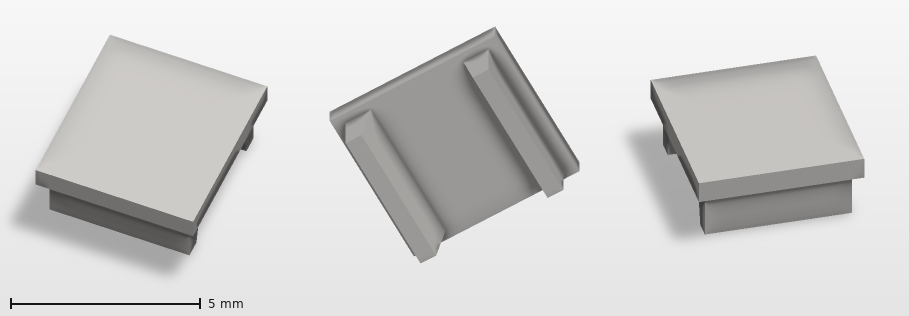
import cadquery as cq

plate_width = 4.5
plate_length = 5.0
plate_thickness = 0.6

total_height = 1.9
leg_width = 4.0
leg_outer_span = 4.32
leg_root_thickness = 0.76
leg_tip_thickness = 0.475

leg_height = total_height - plate_thickness


def make_plate():
    """Flat plate resting on the plane Z = 0."""
    return cq.Workplane("XY").box(
        plate_width, plate_length, plate_thickness, centered=(True, True, False)
    )


def make_leg(side):
    """Leg hanging below the plate, upright outside and tapered inside; side is +1 or -1 along Y."""
    outer = leg_outer_span / 2
    profile = [
        (side * outer, 0),
        (side * outer, -leg_height),
        (side * (outer - leg_tip_thickness), -leg_height),
        (side * (outer - leg_root_thickness), 0),
    ]
    return cq.Workplane("YZ").polyline(profile).close().extrude(leg_width / 2, both=True)


result = make_plate()
for side in (-1, 1):
    result = result.union(make_leg(side))